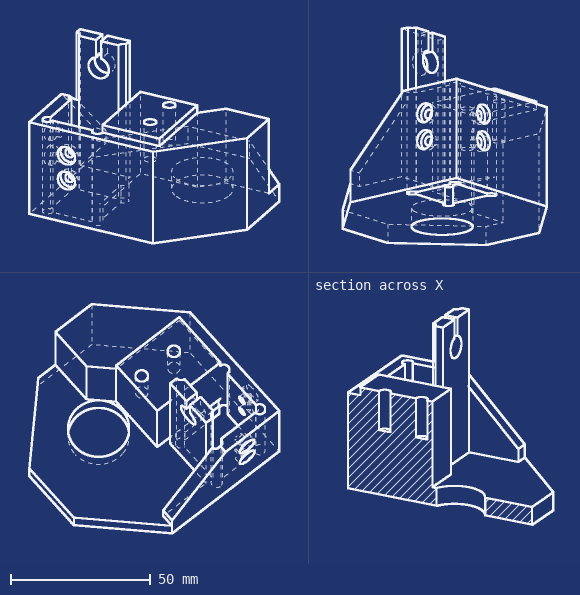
import cadquery as cq

side = 75.0
corner_cut = side / 3
wall = side / 15

base_top = 7.0
block_top = 37.0
pad_top = 40.0
tower_top = 62.0

well_size = 20.0
well_end = wall + well_size
well_center = wall + well_size / 2
relief_diameter = 4.0

block_start = well_end + relief_diameter / 2
block_end = side - corner_cut
block_depth = 34.4
wing_depth = 42.0

bore_diameter = 22.0
bore_center = 46.0

pad_hole_diameter = 4.5
pad_hole_depth = 15.0
pad_hole_x = 41.0
pad_hole_ys = (15.0, 30.0)

clamp_diameter = 8.2
clamp_height = 51.0
clamp_slot = 2.0

screw_diameter = 3.2
head_diameter = 7.0
head_depth = 2.25
screw_heights = (17.0, 27.0)


def box(x0, x1, y0, y1, z0, z1):
    """Box given by its limits along each axis."""
    return cq.Workplane("XY").box(x1 - x0, y1 - y0, z1 - z0, centered=False).translate((x0, y0, z0))


def make_base():
    outline = [
        (0, 0),
        (block_end, 0),
        (side, corner_cut),
        (side, side - corner_cut),
        (side - corner_cut, side),
        (corner_cut, side),
        (0, side - corner_cut),
    ]
    return cq.Workplane("XY").polyline(outline).close().extrude(base_top)


def make_side_wall():
    """Wall along -X whose rear top slopes down at 45 degrees."""
    rear = side - corner_cut
    rear_top = block_top - (rear - well_end)
    outline = [(0, 0), (rear, 0), (rear, rear_top), (well_end, block_top), (0, block_top)]
    return cq.Workplane("YZ").polyline(outline).close().extrude(wall)


def make_wing():
    """Block on the +X side, with two diagonal faces."""
    outline = [
        (block_end, 0),
        (side, corner_cut),
        (side, wing_depth),
        (block_end + wing_depth - block_depth, wing_depth),
        (block_end, block_depth),
    ]
    return cq.Workplane("XY").polyline(outline).close().extrude(block_top)


def make_well():
    """Cutter for the square well and the relief at each of its corners."""
    center = cq.Workplane("XY").center(well_center, well_center)
    square = center.rect(well_size, well_size).extrude(tower_top)
    reliefs = (
        center.rect(well_size, well_size, forConstruction=True)
        .vertices()
        .circle(relief_diameter / 2)
        .extrude(tower_top)
    )
    return square.union(reliefs)


def make_clamp():
    """Cutter for the clamp hole and the slot that opens it at the top."""
    tower_end = well_end + wall
    hole = (
        cq.Workplane("XZ", origin=(well_center, tower_end, clamp_height))
        .circle(clamp_diameter / 2)
        .extrude(wall)
    )
    slot = box(
        well_center - clamp_slot / 2, well_center + clamp_slot / 2,
        well_end, tower_end,
        clamp_height, tower_top,
    )
    return hole.union(slot)


def make_screw_hole(origin, direction):
    """Cutter for a counterbored hole through one wall."""
    start = cq.Vector(*origin)
    axis = cq.Vector(*direction)
    shank = cq.Solid.makeCylinder(screw_diameter / 2, wall, start, axis)
    head = cq.Solid.makeCylinder(head_diameter / 2, head_depth, start, axis)
    return cq.Workplane(shank).union(cq.Workplane(head))


result = make_base()
result = result.union(make_side_wall())
result = result.union(box(0, block_end, 0, wall, 0, block_top))
result = result.union(box(block_start, block_end, 0, block_depth, 0, block_top))
result = result.union(box(block_start, block_end, wall, block_depth, block_top, pad_top))
result = result.union(make_wing())
result = result.union(box(wall, well_end, well_end, well_end + wall, 0, tower_top))

result = result.cut(make_well())
result = result.cut(
    cq.Workplane("XY").center(bore_center, bore_center).circle(bore_diameter / 2).extrude(block_top)
)
result = result.cut(make_clamp())

for pad_hole_y in pad_hole_ys:
    pad_hole = (
        cq.Workplane("XY", origin=(pad_hole_x, pad_hole_y, pad_top))
        .circle(pad_hole_diameter / 2)
        .extrude(-pad_hole_depth)
    )
    result = result.cut(pad_hole)

for screw_height in screw_heights:
    result = result.cut(make_screw_hole((well_center, 0, screw_height), (0, 1, 0)))
    result = result.cut(make_screw_hole((0, well_center, screw_height), (1, 0, 0)))